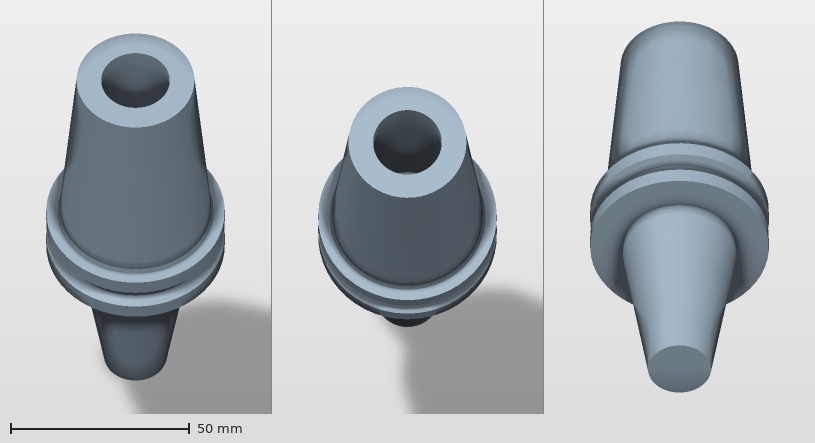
import cadquery as cq

total_height = 127.8
shank_taper_top = 48.0
flange_bottom = 51.1
flange_top = 67.0
flange_rim_height = 4.7
groove_flank_height = 1.2
shoulder_chamfer_height = 1.2
body_taper_bottom = 70.8

shank_end_diameter = 17.6
shank_diameter = 31.8
flange_diameter = 50.0
groove_diameter = 43.8
shoulder_diameter = 43.7
body_diameter = 42.2
nose_diameter = 33.0
bore_diameter = 19.2

bore_depth = 51.1

lower_rim_top = flange_bottom + flange_rim_height
upper_rim_bottom = flange_top - flange_rim_height

profile_stations = [
    (shank_end_diameter, 0),
    (shank_diameter, shank_taper_top),
    (shank_diameter, flange_bottom),
    (flange_diameter, flange_bottom),
    (flange_diameter, lower_rim_top),
    (groove_diameter, lower_rim_top + groove_flank_height),
    (groove_diameter, upper_rim_bottom - groove_flank_height),
    (flange_diameter, upper_rim_bottom),
    (flange_diameter, flange_top),
    (shoulder_diameter, flange_top),
    (body_diameter, flange_top + shoulder_chamfer_height),
    (body_diameter, body_taper_bottom),
    (nose_diameter, total_height),
]


def make_holder_body():
    """Revolve the outer half-profile about the Z axis."""
    half_profile = [(0, 0)]
    half_profile += [(diameter / 2, height) for diameter, height in profile_stations]
    half_profile.append((0, total_height))
    return cq.Workplane("XZ").polyline(half_profile).close().revolve(360, (0, 0), (0, 1))


def make_tool_bore():
    """Flat-bottomed blind bore entering from the nose."""
    bore_floor = total_height - bore_depth
    return cq.Workplane("XY").workplane(offset=bore_floor).circle(bore_diameter / 2).extrude(bore_depth)


result = make_holder_body().cut(make_tool_bore())